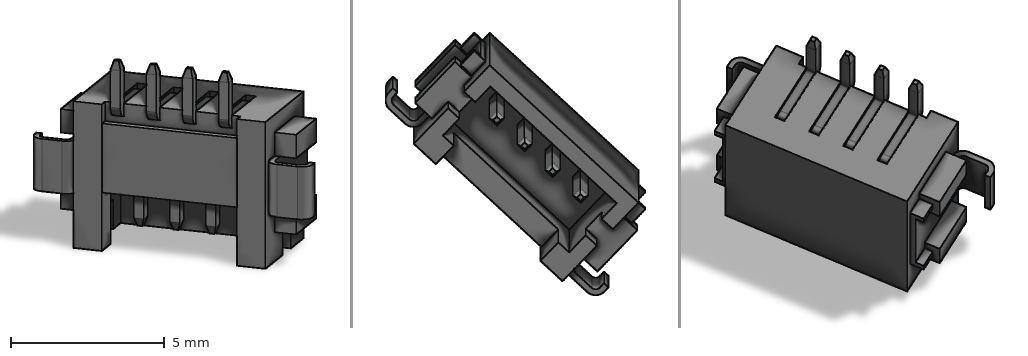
import cadquery as cq


body_width = 6.66
body_depth = 3.6
body_height = 5.0
bay_width = 4.68
panel_recess = 0.05
panel_bottom = 1.98
panel_top = 4.33
ledge_depth = 0.32

wall = 0.5
front_wall = 0.85
roof = 1.5
side_slot_front = 1.63
side_slot_width = 0.75

pin_count = 4
pin_pitch = 1.25
pin_size = 0.35
pin_bend_radius = 0.37
pin_front = 0.01
pin_back = 2.57
pin_bottom = 0.23
pin_top = 6.5
pin_run_bottom = 4.56
pin_tip_length = 0.29
pin_tip_size = 0.16

clip_span = 9.65
sheet = 0.2
clip_bend_radius = 0.4
clip_front = 0.01
clip_hook_back = 0.6
clip_back = 3.4
clip_mid_height = 2.7
clip_height = 1.795
bracket_height = 2.82
flange_reach = 0.5
tab_reach = 0.75
tab_front = 0.86
tab_back = 2.75
tab_height = 0.8

side_face = body_width / 2


def block(x_range, y_range, z_range):
    """Box between two limits along each axis."""
    (x0, x1), (y0, y1), (z0, z1) = x_range, y_range, z_range
    return cq.Workplane("XY").box(x1 - x0, y1 - y0, z1 - z0, centered=False).translate((x0, y0, z0))


def centered(width, middle=0):
    """Limits of a stretch of the given width about its middle."""
    return middle - width / 2, middle + width / 2


def make_housing():
    body = block(centered(body_width), (0, body_depth), (0, body_height))
    cavity_top = body_height - roof
    cavity = block(
        centered(body_width - 2 * wall), (front_wall, body_depth - wall), (0, cavity_top)
    )
    window = block(centered(bay_width), (0, front_wall), (0, panel_bottom))
    recess = block(centered(bay_width), (0, panel_recess), (0, body_height))
    ledge = block(centered(bay_width), (0, ledge_depth), (panel_top, body_height))
    slot_top = clip_mid_height - clip_height / 2 - tab_height
    side_slots = block(
        centered(body_width), (side_slot_front, side_slot_front + side_slot_width), (0, slot_top)
    )
    return body.cut(cavity).cut(window).cut(recess).cut(ledge).cut(side_slots)


def pin_tip(x, y, z_base, z_end):
    """Tapered pin end from z_base to z_end."""
    return (
        cq.Workplane("XY", origin=(x, y, z_base))
        .rect(pin_size, pin_size)
        .workplane(offset=z_end - z_base)
        .rect(pin_tip_size, pin_tip_size)
        .loft(ruled=True)
    )


def make_pin(x):
    """Bent pin: contact leg down, run forward along the top, tail up at the front."""
    run_top = pin_run_bottom + pin_size
    leg_base = pin_bottom + pin_tip_length
    tail_base = pin_top - pin_tip_length
    inner_radius = pin_bend_radius - pin_size
    bent_bar = (
        cq.Workplane("YZ", origin=(x - pin_size / 2, 0, 0))
        .moveTo(pin_front, tail_base)
        .lineTo(pin_front, pin_run_bottom + pin_bend_radius)
        .radiusArc((pin_front + pin_bend_radius, pin_run_bottom), -pin_bend_radius)
        .lineTo(pin_back - pin_bend_radius, pin_run_bottom)
        .radiusArc((pin_back - pin_size, pin_run_bottom - inner_radius), inner_radius)
        .lineTo(pin_back - pin_size, leg_base)
        .lineTo(pin_back, leg_base)
        .lineTo(pin_back, run_top - pin_bend_radius)
        .radiusArc((pin_back - pin_bend_radius, run_top), -pin_bend_radius)
        .lineTo(pin_front + pin_bend_radius, run_top)
        .radiusArc((pin_front + pin_size, run_top + inner_radius), inner_radius)
        .lineTo(pin_front + pin_size, tail_base)
        .close()
        .extrude(pin_size)
    )
    leg_tip = pin_tip(x, pin_back - pin_size / 2, leg_base, pin_bottom)
    tail_tip = pin_tip(x, pin_front + pin_size / 2, tail_base, pin_top)
    return bent_bar.union(leg_tip).union(tail_tip)


def make_clip():
    """Right-hand solder clip: channel on the side wall with a hook at the front."""
    clip_bottom = clip_mid_height - clip_height / 2
    hook_end = clip_span / 2
    inner_radius = clip_bend_radius - sheet
    hook_inside = clip_front + sheet
    hook = (
        cq.Workplane("XY", origin=(0, 0, clip_bottom))
        .moveTo(side_face, tab_back)
        .lineTo(side_face, clip_front + clip_bend_radius)
        .radiusArc((side_face + clip_bend_radius, clip_front), -clip_bend_radius)
        .lineTo(hook_end - clip_bend_radius, clip_front)
        .radiusArc((hook_end, clip_front + clip_bend_radius), -clip_bend_radius)
        .lineTo(hook_end, clip_hook_back)
        .lineTo(hook_end - sheet, clip_hook_back)
        .lineTo(hook_end - sheet, clip_front + clip_bend_radius)
        .radiusArc((hook_end - clip_bend_radius, hook_inside), inner_radius)
        .lineTo(side_face + clip_bend_radius, hook_inside)
        .radiusArc((side_face + sheet, clip_front + clip_bend_radius), inner_radius)
        .lineTo(side_face + sheet, tab_back)
        .close()
        .extrude(clip_height)
    )
    bracket_bottom, bracket_top = centered(bracket_height, clip_mid_height)
    bracket_y = (tab_back, clip_back)
    flange_x = (side_face, side_face + flange_reach)
    plate = block((side_face, side_face + sheet), bracket_y, (bracket_bottom, bracket_top))
    lower_flange = block(flange_x, bracket_y, (bracket_bottom, bracket_bottom + sheet))
    upper_flange = block(flange_x, bracket_y, (bracket_top - sheet, bracket_top))
    return hook.union(plate).union(lower_flange).union(upper_flange)


def make_tabs():
    """Right-hand pair of tabs, one below and one above the clip."""
    clip_bottom, clip_top = centered(clip_height, clip_mid_height)
    tab_x = (side_face, side_face + tab_reach)
    tab_y = (tab_front, tab_back)
    lower_tab = block(tab_x, tab_y, (clip_bottom - tab_height, clip_bottom))
    upper_tab = block(tab_x, tab_y, (clip_top, clip_top + tab_height))
    return lower_tab.union(upper_tab)


result = make_housing()

for index in range(pin_count):
    pin_x = (index - (pin_count - 1) / 2) * pin_pitch
    groove = block(centered(pin_size, pin_x), (0, pin_back), (pin_run_bottom, body_height))
    result = result.cut(groove).union(make_pin(pin_x))

right_side = make_clip().union(make_tabs())
result = result.union(right_side).union(right_side.mirror("YZ"))